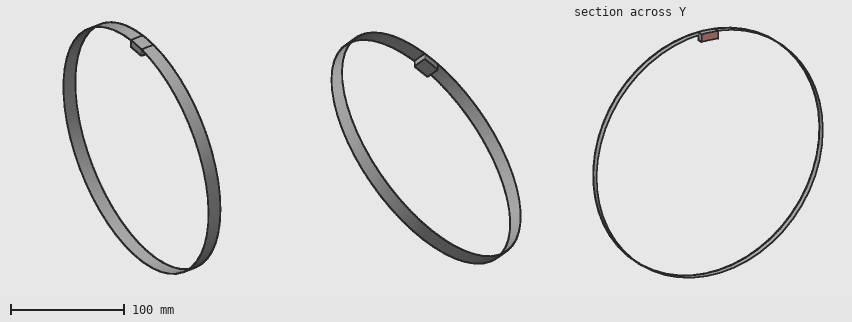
import cadquery as cq

outer_diameter = 229.5
band_width = 12.6
band_thickness = 0.35

block_length = 17.0
block_height = 7.8
block_corner_radius = 0.7

outer_radius = outer_diameter / 2
inner_radius = outer_radius - band_thickness


def disc(radius):
    """Solid disc as wide as the band."""
    return cq.Workplane("XZ").circle(radius).extrude(band_width / 2, both=True)


def clasp_block():
    """Block with rounded upright edges and a top that follows the band's outer curve."""
    block_center_z = outer_radius - block_height / 2
    return (
        cq.Workplane("XY")
        .box(block_length, band_width, block_height)
        .edges("|Z")
        .fillet(block_corner_radius)
        .translate((0, 0, block_center_z))
        .intersect(disc(outer_radius))
    )


band = disc(outer_radius).cut(disc(inner_radius))
result = band.union(clasp_block())